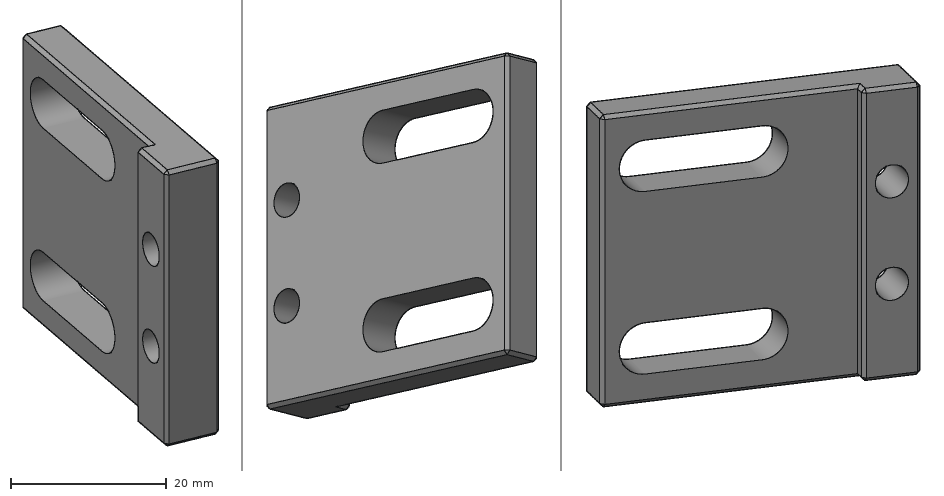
import cadquery as cq

length = 43.0
depth = 8.0
height = 40.0

plate_thickness = 6.0
rail_start = 35.0
edge_chamfer = 0.5

slot_length = 23.0
slot_width = 7.0
slot_center_x = 14.0
slot_spacing = 25.0

hole_diameter = 4.5
hole_center_x = 39.0
hole_spacing = 14.0

step_y = depth - plate_thickness
mid_z = height / 2


def make_body():
    """L-shaped plate with a raised rail, chamfered on every outer edge."""
    body = (
        cq.Workplane("XY")
        .moveTo(0, step_y)
        .lineTo(rail_start, step_y)
        .lineTo(rail_start, 0)
        .lineTo(length, 0)
        .lineTo(length, depth)
        .lineTo(0, depth)
        .close()
        .extrude(height)
    )
    inside_corner = cq.selectors.NearestToPointSelector((rail_start, step_y, mid_z))
    outer_edges = cq.selectors.InverseSelector(inside_corner)
    return body.edges(outer_edges).chamfer(edge_chamfer)


def paired_centers(x, spacing):
    """Two points placed symmetrically about the middle of the height."""
    return [(x, mid_z - spacing / 2), (x, mid_z + spacing / 2)]


def make_slots():
    """Cutters for the two horizontal slots through the plate."""
    return (
        cq.Workplane("XZ")
        .pushPoints(paired_centers(slot_center_x, slot_spacing))
        .slot2D(slot_length, slot_width)
        .extrude(-depth)
    )


def make_holes():
    """Cutters for the two round holes through the rail."""
    return (
        cq.Workplane("XZ")
        .pushPoints(paired_centers(hole_center_x, hole_spacing))
        .circle(hole_diameter / 2)
        .extrude(-depth)
    )


result = make_body().cut(make_slots()).cut(make_holes())